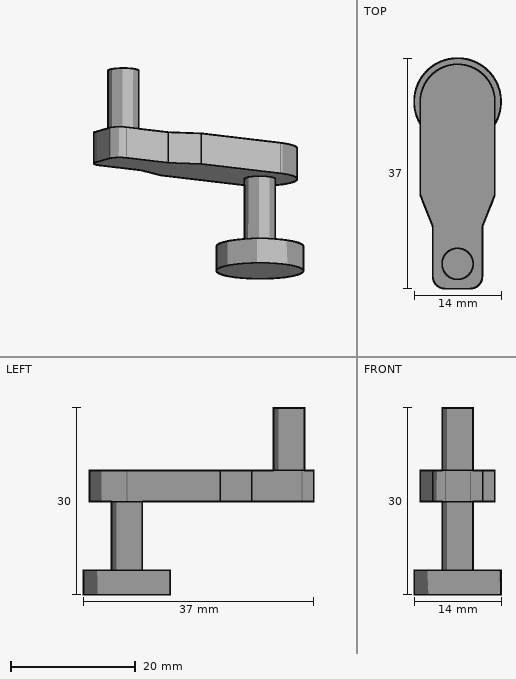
import cadquery as cq

total_length = 37.0
total_height = 30.0

disc_diameter = 14.0
disc_thickness = 4.0
rod_diameter = 5.0
shaft_length = 11.0

arm_thickness = 5.0
wide_width = 12.0
narrow_width = 8.0
taper_start = 15.0
taper_end = 20.0
corner_radius = 2.0
pin_distance = 26.0

arm_reach = total_length - disc_diameter / 2
arm_bottom = disc_thickness + shaft_length
arm_top = arm_bottom + arm_thickness
pin_length = total_height - arm_top


def cylinder(diameter, height, y, bottom):
    """Upright cylinder centred on X = 0."""
    return cq.Workplane("XY", origin=(0, y, bottom)).circle(diameter / 2).extrude(height)


def crank_arm():
    """Flat arm with a round wide end, tapering to a narrow end with rounded corners."""
    half_wide = wide_width / 2
    half_narrow = narrow_width / 2
    arm = (
        cq.Workplane("XY", origin=(0, 0, arm_bottom))
        .moveTo(half_wide, 0)
        .threePointArc((0, half_wide), (-half_wide, 0))
        .lineTo(-half_wide, -taper_start)
        .lineTo(-half_narrow, -taper_end)
        .lineTo(-half_narrow, -arm_reach)
        .lineTo(half_narrow, -arm_reach)
        .lineTo(half_narrow, -taper_end)
        .lineTo(half_wide, -taper_start)
        .close()
        .extrude(arm_thickness)
    )
    return arm.faces("<Y").edges("|Z").fillet(corner_radius)


disc = cylinder(disc_diameter, disc_thickness, 0, 0)
shaft = cylinder(rod_diameter, shaft_length, 0, disc_thickness)
pin = cylinder(rod_diameter, pin_length, -pin_distance, arm_top)

result = disc.union(shaft).union(crank_arm()).union(pin)